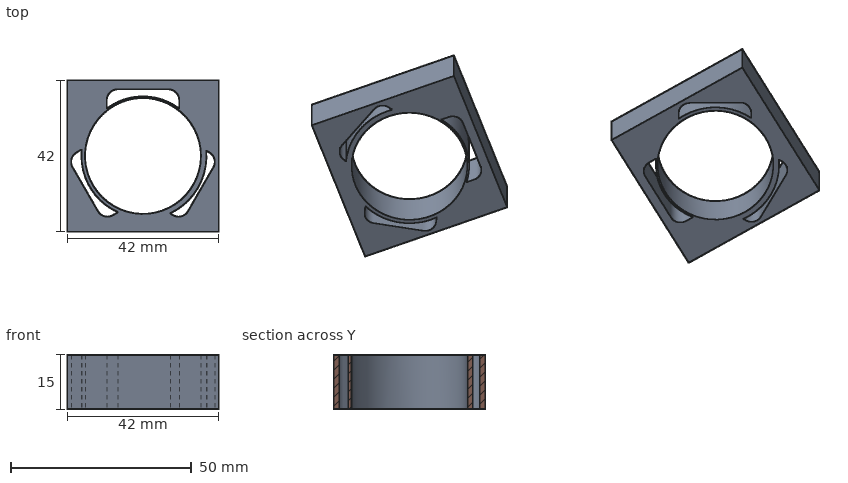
import cadquery as cq

side = 42.0
height = 15.0
bore_diameter = 32.0

pocket_width = 20.0
pocket_outer_distance = 18.4
pocket_corner_radius = 3.0
thinnest_wall = 0.5
wall_step = 0.55
pocket_count = 3
pocket_spacing = 360 / pocket_count


def make_pocket(wall, angle):
    """Rounded cutter outside the bore wall, turned about the bore axis from +Y."""
    cutter = (
        cq.Workplane("XY")
        .center(0, pocket_outer_distance / 2)
        .rect(pocket_width, pocket_outer_distance)
        .extrude(height)
        .edges("|Z and >Y")
        .fillet(pocket_corner_radius)
    )
    wall_cylinder = cq.Workplane("XY").circle(bore_diameter / 2 + wall).extrude(height)
    return cutter.cut(wall_cylinder).rotate((0, 0, 0), (0, 0, 1), angle)


result = cq.Workplane("XY").rect(side, side).circle(bore_diameter / 2).extrude(height)

for index in range(pocket_count):
    wall_thickness = thinnest_wall + index * wall_step
    result = result.cut(make_pocket(wall_thickness, index * pocket_spacing))